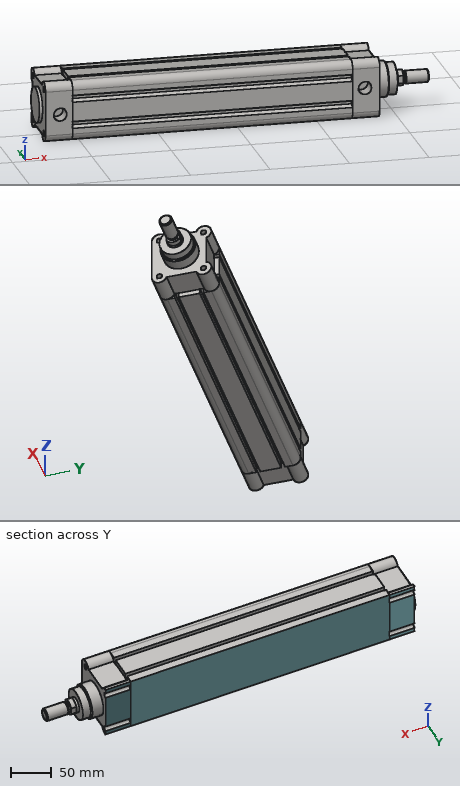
import cadquery as cq


SIZE = 76.0
HALF = SIZE / 2
CORNER_RADIUS = 10.0
BOLT_OFFSET = HALF - CORNER_RADIUS

SPIGOT_LENGTH = 4.0
CAP_LENGTH = 34.0
BARREL_LENGTH = 352.0
COLLAR_LENGTH = 16.5
GLAND_LENGTH = 10.5
TOTAL_LENGTH = 494.0
BARREL_START = SPIGOT_LENGTH + CAP_LENGTH
FRONT_CAP_START = BARREL_START + BARREL_LENGTH
COLLAR_START = FRONT_CAP_START + CAP_LENGTH
GLAND_START = COLLAR_START + COLLAR_LENGTH
ROD_START = GLAND_START + GLAND_LENGTH

RECESS = 6.5
BOLT_HOLE_DIAMETER = 7.0
BOSS_DIAMETER = 45.0
GLAND_DIAMETER = 40.5
COLLAR_CHAMFER = 1.5
PORT_DIAMETER = 16.5
PORT_DEPTH = 20.0
PORT_SHIFT_X = 1.5
PORT_SHIFT_Z = 2.5
REAR_PORT_X = SPIGOT_LENGTH + CAP_LENGTH / 2 + PORT_SHIFT_X
FRONT_PORT_X = FRONT_CAP_START + CAP_LENGTH / 2 - PORT_SHIFT_X

SLOT_OFFSET = 16.0
SLOT_WIDTH = 5.0
SLOT_DEPTH = 8.0
SENSOR_SLOT_OFFSET = 17.0
SENSOR_SLOT_MOUTH = 9.0
SENSOR_SLOT_FLOOR = 3.5
SENSOR_SLOT_DEPTH = 6.5

ROD_DIAMETER = 20.0
FLATS_WIDTH = 17.5
SHOULDER_DIAMETER = 20.5
SHOULDER_LENGTH = 3.5
FLATS_LENGTH = 7.0
NECK_LENGTH = 2.5
NECK_DIAMETER = 13.5
THREAD_DIAMETER = 16.5
THREAD_CHAMFER = 1.5
FLATS_START = ROD_START + SHOULDER_LENGTH
NECK_START = FLATS_START + FLATS_LENGTH
THREAD_START = NECK_START + NECK_LENGTH


def section(x):
    """Sketch plane across the cylinder at station x, with local axes Y and Z."""
    return cq.Workplane("YZ", origin=(x, 0, 0))


def disc(x, diameter, length):
    """Round bar on the cylinder axis, from station x toward +X."""
    return section(x).circle(diameter / 2).extrude(length)


def bolt_pattern(x):
    """The four bolt axes at station x."""
    return section(x).rect(2 * BOLT_OFFSET, 2 * BOLT_OFFSET, forConstruction=True).vertices()


def make_cap(x, port_x, port_z):
    """Cap block with four corner lobes, a flush -Y side with a port, and bolt holes."""
    recessed = HALF - RECESS
    core_width = recessed + BOLT_OFFSET
    core = section(x).center(recessed - core_width / 2, 0).rect(core_width, 2 * recessed)
    lobes = bolt_pattern(x).circle(CORNER_RADIUS).extrude(CAP_LENGTH)
    flush_width = HALF - BOLT_OFFSET
    flush_side = section(x).center(flush_width / 2 - HALF, 0).rect(flush_width, 2 * BOLT_OFFSET)
    cap = core.extrude(CAP_LENGTH).union(lobes).union(flush_side.extrude(CAP_LENGTH))

    bolt_holes = bolt_pattern(x).circle(BOLT_HOLE_DIAMETER / 2).extrude(CAP_LENGTH)
    port_plane = cq.Workplane("XZ", origin=(port_x, -HALF, port_z))
    port = port_plane.circle(PORT_DIAMETER / 2).extrude(-PORT_DEPTH)
    return cap.cut(bolt_holes).cut(port)


def make_rear_cap():
    """Rear cap with its centring spigot."""
    cap = make_cap(SPIGOT_LENGTH, REAR_PORT_X, -PORT_SHIFT_Z)
    return cap.union(disc(0, BOSS_DIAMETER, SPIGOT_LENGTH))


def make_front_cap():
    """Front cap with its chamfered collar and the rod gland."""
    cap = make_cap(FRONT_CAP_START, FRONT_PORT_X, PORT_SHIFT_Z)
    collar = disc(COLLAR_START, BOSS_DIAMETER, COLLAR_LENGTH).faces(">X").chamfer(COLLAR_CHAMFER)
    return cap.union(collar).union(disc(GLAND_START, GLAND_DIAMETER, GLAND_LENGTH))


def plain_slot(offset):
    """Straight slot in the +Z side, at the given Y."""
    profile = section(BARREL_START).center(offset, HALF - SLOT_DEPTH / 2)
    return profile.rect(SLOT_WIDTH, SLOT_DEPTH).extrude(BARREL_LENGTH)


def sensor_slot(offset):
    """Slot in the -Y side, at the given Z, that narrows toward its floor."""
    floor_y = SENSOR_SLOT_DEPTH - HALF
    profile = section(BARREL_START).polyline([
        (-HALF, offset - SENSOR_SLOT_MOUTH / 2),
        (floor_y, offset - SENSOR_SLOT_FLOOR / 2),
        (floor_y, offset + SENSOR_SLOT_FLOOR / 2),
        (-HALF, offset + SENSOR_SLOT_MOUTH / 2),
    ])
    return profile.close().extrude(BARREL_LENGTH)


def make_barrel():
    """Square extrusion with rounded corners and two lengthwise slots in each side."""
    barrel = section(BARREL_START).rect(SIZE, SIZE).extrude(BARREL_LENGTH)
    barrel = barrel.edges("|X").fillet(CORNER_RADIUS)
    for side in (-1, 1):
        slot = plain_slot(side * SLOT_OFFSET)
        for turn in (0, 90, 180):
            barrel = barrel.cut(slot.rotate((0, 0, 0), (1, 0, 0), -turn))
        barrel = barrel.cut(sensor_slot(side * SENSOR_SLOT_OFFSET))
    return barrel


def make_rod():
    """Rod end: round shoulder, wrench flats facing -Y and +Y, neck and thread."""
    shoulder = disc(ROD_START, SHOULDER_DIAMETER, SHOULDER_LENGTH)
    flats_block = section(FLATS_START).rect(FLATS_WIDTH, ROD_DIAMETER).extrude(FLATS_LENGTH)
    flats = disc(FLATS_START, ROD_DIAMETER, FLATS_LENGTH).intersect(flats_block)
    neck = disc(NECK_START, NECK_DIAMETER, NECK_LENGTH)
    thread = disc(THREAD_START, THREAD_DIAMETER, TOTAL_LENGTH - THREAD_START)
    thread = thread.faces("<X or >X").chamfer(THREAD_CHAMFER)
    return shoulder.union(flats).union(neck).union(thread)


rear_cap = make_rear_cap()
barrel = make_barrel()
front_cap = make_front_cap()
rod = make_rod()

result = cq.Compound.makeCompound([rear_cap.val(), barrel.val(), front_cap.val(), rod.val()])